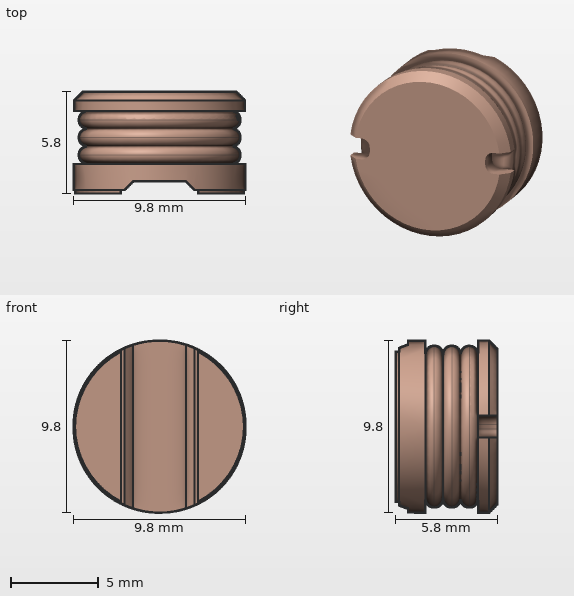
import cadquery as cq

overall_length = 5.8
outer_radius = 4.9

turn_count = 3
wire_diameter = 1.0
wire_radius = wire_diameter / 2
coil_outer_radius = 4.61
core_radius = coil_outer_radius - wire_radius
coil_length = turn_count * wire_diameter

base_thickness = 1.5
groove_depth = 0.5
groove_floor_half_width = 1.5
groove_mouth_half_width = groove_floor_half_width + groove_depth

pad_thickness = 0.2
pad_radius = 4.8
pad_inner_x = 2.2

flange_thickness = overall_length - pad_thickness - base_thickness - coil_length
flange_chamfer = 0.5
notch_width = 1.24
notch_corner_radius = 0.5
notch_floor_x = 3.5

pad_face_y = -overall_length / 2
base_face_y = pad_face_y + pad_thickness
coil_start_y = base_face_y + base_thickness
coil_end_y = coil_start_y + coil_length
back_face_y = coil_end_y + flange_thickness


def disc(radius, start_y, end_y):
    """Solid disc about the Y axis between two stations."""
    plane = cq.Workplane("XZ", origin=(0, start_y, 0))
    return plane.circle(radius).extrude(start_y - end_y)


def make_base():
    groove = (
        cq.Workplane("XY")
        .moveTo(-groove_mouth_half_width, base_face_y)
        .lineTo(-groove_floor_half_width, base_face_y + groove_depth)
        .lineTo(groove_floor_half_width, base_face_y + groove_depth)
        .lineTo(groove_mouth_half_width, base_face_y)
        .close()
        .extrude(outer_radius, both=True)
    )
    return disc(outer_radius, base_face_y, coil_start_y).cut(groove)


def make_pads():
    gap = cq.Workplane("XY").box(2 * pad_inner_x, overall_length, 2 * outer_radius)
    gap = gap.translate((0, base_face_y, 0))
    return disc(pad_radius, pad_face_y, base_face_y).cut(gap)


def make_coil():
    coil = disc(core_radius, coil_start_y, coil_end_y)
    for turn in range(turn_count):
        centre_y = coil_start_y + (turn + 0.5) * wire_diameter
        wire = (
            cq.Workplane("XY")
            .center(core_radius, centre_y)
            .circle(wire_radius)
            .revolve(360, (-core_radius, 0), (-core_radius, 1))
        )
        coil = coil.union(wire)
    return coil


def make_flange():
    flange = disc(outer_radius, coil_end_y, back_face_y)
    flange = flange.faces(">Y").chamfer(flange_chamfer)
    middle_y = (coil_end_y + back_face_y) / 2
    notch_length = outer_radius
    for side in (-1, 1):
        notch = (
            cq.Workplane("XY")
            .box(notch_length, flange_thickness, notch_width)
            .edges("|Y")
            .fillet(notch_corner_radius)
            .translate((side * (notch_floor_x + notch_length / 2), middle_y, 0))
        )
        flange = flange.cut(notch)
    return flange


result = make_coil().union(make_base()).union(make_pads()).union(make_flange())